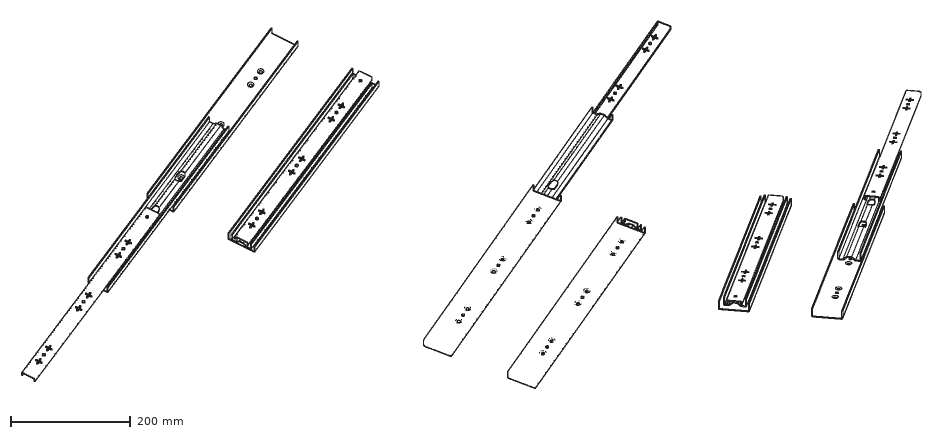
import cadquery as cq
import math


total_width = 212.0
total_length = 826.0
total_height = 19.0

sheet = 2.0
bend_radius = 2.9

middle_width = 40.0
side_gap = 4.9
outer_width = middle_width + 2 * (side_gap + sheet)
outer_height = 16.0
middle_floor_z = 3.0
middle_top_z = 18.0
hat_base_width = 21.5
hat_top_width = 8.0
hat_top_z = 11.0
inner_width = 26.5
inner_lip_z = 11.0

rail_length = 400.0
middle_length = 389.0
middle_stroke = 202.0
back_y = total_length / 2
closed_front_y = back_y - rail_length
inner_stroke = total_length - rail_length
slide_x = (total_width - outer_width) / 2

station_count = 3
station_pitch = 128.0
first_station = 93.0
pair_spacing = 32.0
round_hole_diameter = 5.0
rear_hole_offset = 16.5
countersink_diameter = 11.0
cross_length = 12.0
cross_width = 2.15

access_length = 21.5
access_width = 12.0
first_access_offset = 125.0
access_pitch = 83.5
access_count = 2

stations = [first_station + i * station_pitch for i in range(station_count)]
screw_offsets = [s + side * pair_spacing / 2 for s in stations for side in (-1, 1)]


def extruded_along_y(points, length):
    """Closed XZ outline extruded from Y = 0, the back end, to Y = -length."""
    return cq.Workplane("XZ").polyline(points).close().extrude(length)


def round_corners(body, half_width, z, radius):
    """Round the two lengthwise edges at the corners (+-half_width, z)."""
    for x in (-half_width, half_width):
        corner = cq.selectors.NearestToPointSelector((x, body.val().Center().y, z))
        body = body.edges("|Y").edges(corner).fillet(radius)
    return body


def hole_centres(offsets):
    """Workplane at Z = 0 with a point on the rail axis at each distance from the back end."""
    return cq.Workplane("XY").pushPoints([(0, -offset) for offset in offsets])


def channel(half_width, web_z, web_inside_z, lip_z, length):
    """U-shaped rail with its web at web_z and two straight sides that end at lip_z."""
    inside = half_width - sheet
    points = [
        (-half_width, web_z), (half_width, web_z), (half_width, lip_z), (inside, lip_z),
        (inside, web_inside_z), (-inside, web_inside_z), (-inside, lip_z), (-half_width, lip_z),
    ]
    rail = extruded_along_y(points, length)
    rail = round_corners(rail, half_width, web_z, bend_radius)
    return round_corners(rail, inside, web_inside_z, bend_radius - sheet)


def make_outer_rail():
    """Upward-open channel with countersunk screw holes."""
    rail = channel(outer_width / 2, 0, sheet, outer_height, rail_length)
    head_radius = countersink_diameter / 2
    hole_radius = round_hole_diameter / 2
    rail = rail.cut(hole_centres(stations).circle(hole_radius).extrude(sheet))
    for offset in screw_offsets:
        head = cq.Solid.makeCone(hole_radius, head_radius, sheet, cq.Vector(0, -offset, 0))
        rail = rail.cut(cq.Workplane(head))
    return rail


def make_middle_rail():
    """Upward-open channel, sharp inside, whose floor rises to a flat-topped hat with access slots."""
    half_width = middle_width / 2
    inside = half_width - sheet
    base_x = hat_base_width / 2
    top_x = hat_top_width / 2
    floor_top = middle_floor_z + sheet
    hat_slope = math.atan2(hat_top_z - floor_top, base_x - top_x)
    knee_shift = sheet * math.tan(hat_slope / 2)
    right_half = [
        (top_x - knee_shift, hat_top_z - sheet), (base_x - knee_shift, middle_floor_z),
        (half_width, middle_floor_z), (half_width, middle_top_z), (inside, middle_top_z),
        (inside, floor_top), (base_x, floor_top), (top_x, hat_top_z),
    ]
    left_half = [(-x, z) for x, z in reversed(right_half)]
    rail = extruded_along_y(right_half + left_half, middle_length)
    rail = round_corners(rail, half_width, middle_floor_z, bend_radius)
    access_offsets = [first_access_offset + i * access_pitch for i in range(access_count)]
    slots = hole_centres(access_offsets).slot2D(access_length, access_width, 90).extrude(total_height)
    return rail.cut(slots)


def make_inner_rail():
    """Downward-open channel with cross-shaped screw slots and round holes."""
    rail = channel(inner_width / 2, total_height, total_height - sheet, inner_lip_z, rail_length)
    round_offsets = [rear_hole_offset] + stations
    rail = rail.cut(hole_centres(round_offsets).circle(round_hole_diameter / 2).extrude(total_height))
    for angle in (0, 90):
        slots = hole_centres(screw_offsets).slot2D(cross_length, cross_width, angle)
        rail = rail.cut(slots.extrude(total_height))
    return rail


outer_rail = make_outer_rail()
middle_rail = make_middle_rail()
inner_rail = make_inner_rail()

bodies = []
for x, middle_travel, inner_travel in ((-slide_x, middle_stroke, inner_stroke), (slide_x, 0, 0)):
    bodies.append(outer_rail.translate((x, back_y, 0)).val())
    bodies.append(middle_rail.translate((x, closed_front_y + middle_length - middle_travel, 0)).val())
    bodies.append(inner_rail.translate((x, back_y - inner_travel, 0)).val())

result = cq.Compound.makeCompound(bodies)